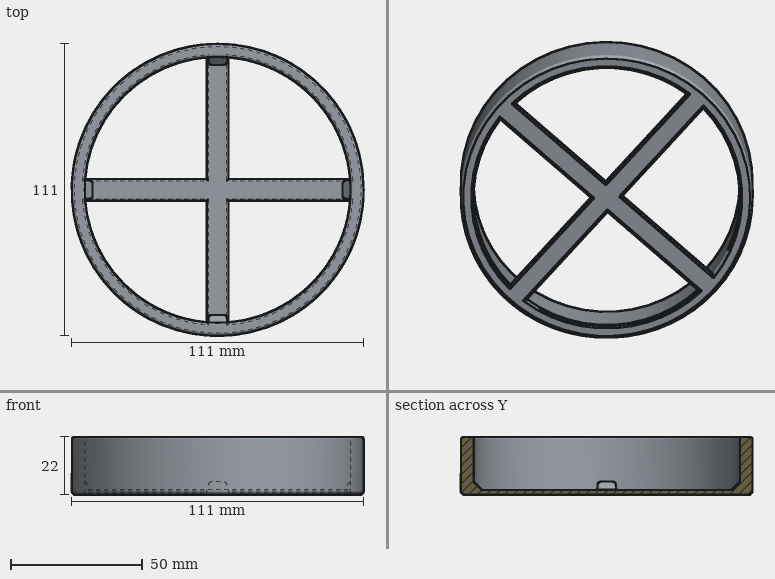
import cadquery as cq

outer_diameter = 111.0
inner_diameter = 101.0
ring_height = 22.0
ring_edge_radius = 1.0
ring_chamfer = 1.0

bar_width = 8.4
bar_thickness = 2.0
bar_edge_radius = 0.7
bar_chamfer = 0.8
bar_count = 2

wedge_width = bar_width - 2 * bar_edge_radius
wedge_reach = 3.0
wedge_height = 3.0
wedge_edge_radius = 1.0
wedge_count = 2 * bar_count

inner_radius = inner_diameter / 2
ring_mid_diameter = (outer_diameter + inner_diameter) / 2
selection_tolerance = 0.01


def edges_at_height(body, height):
    """Select the edges of a body that lie in the horizontal plane at the given height."""
    corner_low = (-outer_diameter, -outer_diameter, height - selection_tolerance)
    corner_high = (outer_diameter, outer_diameter, height + selection_tolerance)
    return body.edges(cq.selectors.BoxSelector(corner_low, corner_high, boundingbox=True))


def ease_edges(body, edge_kind, radius, chamfer):
    """Round the top edges, chamfer the bottom edges and blend each chamfer into its side wall."""
    body = body.faces(">Z").edges(edge_kind).fillet(radius)
    body = body.faces("<Z").edges(edge_kind).chamfer(chamfer)
    return edges_at_height(body, chamfer).edges(edge_kind).fillet(radius)


def make_ring():
    """Plain ring with every circular edge eased."""
    ring = cq.Workplane("XY").circle(outer_diameter / 2).circle(inner_radius).extrude(ring_height)
    return ease_edges(ring, "%CIRCLE", ring_edge_radius, ring_chamfer)


def make_bar():
    """One bar along X with eased long edges, ending inside the ring wall."""
    bar = cq.Workplane("XY").box(ring_mid_diameter, bar_width, bar_thickness, centered=(True, True, False))
    return ease_edges(bar, "|X", bar_edge_radius, bar_chamfer)


def make_wedge():
    """Sloped block on the bar at the +X wall, with rounded sides along the slope."""
    toe = inner_radius - wedge_reach
    back = ring_mid_diameter / 2
    wedge_top = bar_thickness + wedge_height
    wedge = (
        cq.Workplane("XZ")
        .moveTo(toe, bar_thickness)
        .lineTo(inner_radius, wedge_top)
        .lineTo(back, wedge_top)
        .lineTo(back, bar_thickness)
        .close()
        .extrude(wedge_width / 2, both=True)
    )
    return wedge.edges("not (|X or |Y or |Z)").fillet(wedge_edge_radius)


def add_around_axis(body, feature, count, spacing):
    """Join copies of a feature to the body, turned about Z by equal steps in degrees."""
    for index in range(count):
        body = body.union(feature.rotate((0, 0, 0), (0, 0, 1), index * spacing))
    return body


result = make_ring()
result = add_around_axis(result, make_bar(), bar_count, 180 / bar_count)
result = add_around_axis(result, make_wedge(), wedge_count, 360 / wedge_count)